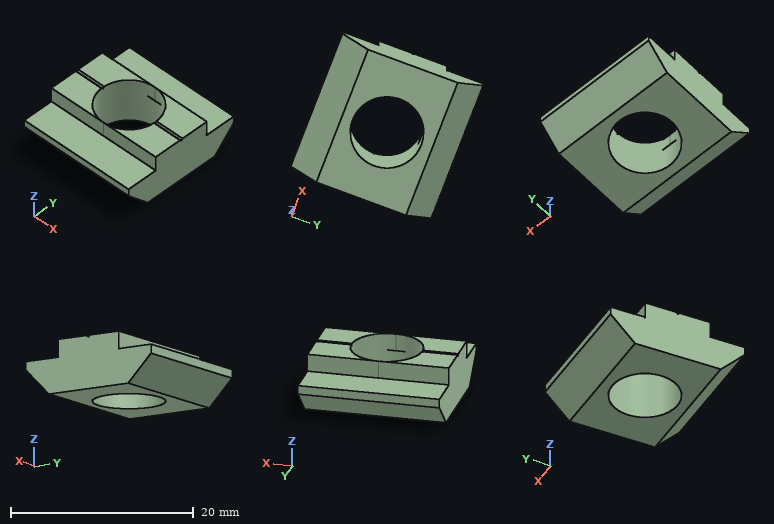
import cadquery as cq

length = 16.0
width = 16.5
height = 6.0

neck_width = 8.0
neck_height = 2.0
flange_edge_height = 1.0
base_width = 10.5

hole_diameter = 8.0
groove_width = 0.4
groove_depth = 0.2

flange_top = height - neck_height
flange_bottom = flange_top - flange_edge_height

half_section = [
    (base_width / 2, 0),
    (width / 2, flange_bottom),
    (width / 2, flange_top),
    (neck_width / 2, flange_top),
    (neck_width / 2, height),
    (groove_width / 2, height),
]
mirrored_half = [(-y, z) for y, z in reversed(half_section)]
groove_bottom = (0, height - groove_depth)

body = (
    cq.Workplane("YZ")
    .polyline(half_section + [groove_bottom] + mirrored_half)
    .close()
    .extrude(length / 2, both=True)
)

hole = cq.Workplane("XY").circle(hole_diameter / 2).extrude(height)

result = body.cut(hole)